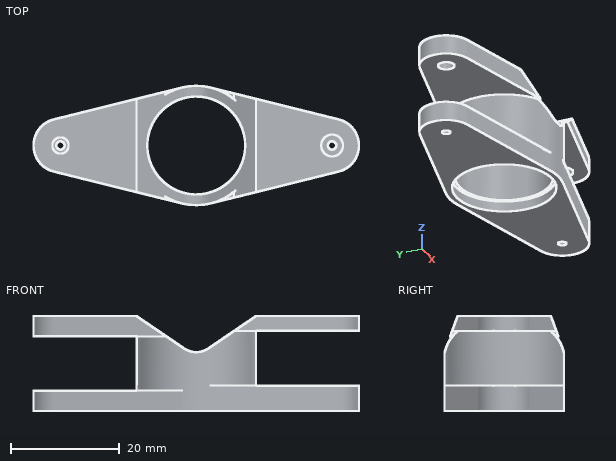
import cadquery as cq
import math

length = 60.0
height = 17.5

hub_diameter = 22.0
bore_diameter = 18.0
hub_radius = hub_diameter / 2

counterbore_diameter = 19.2
counterbore_depth = 2.05

end_radius = 5.0
pin_offset = length / 2 - end_radius

left_upper_thickness = 3.8
left_lower_thickness = 3.8
right_upper_thickness = 2.75
right_lower_thickness = 4.7

left_pin_diameter = 3.0
right_pin_diameter = 4.0
pilot_diameter = 1.5
pin_floor = 1.0

saddle_apex_depth = 7.5
saddle_root_radius = 4.0

LEFT = -1
RIGHT = 1


def lug(side, base_z, thickness):
    """Plate tapering tangentially from the ring to its rounded end."""
    taper_sine = (hub_radius - end_radius) / pin_offset
    taper_cosine = math.sqrt(1 - taper_sine**2)
    hub_x = side * hub_radius * taper_sine
    hub_y = hub_radius * taper_cosine
    end_x = side * (pin_offset + end_radius * taper_sine)
    end_y = end_radius * taper_cosine
    return (
        cq.Workplane("XY", origin=(0, 0, base_z))
        .moveTo(0, hub_y)
        .lineTo(hub_x, hub_y)
        .lineTo(end_x, end_y)
        .threePointArc((side * length / 2, 0), (end_x, -end_y))
        .lineTo(hub_x, -hub_y)
        .lineTo(0, -hub_y)
        .close()
        .extrude(thickness)
    )


def cylinder(x, base_z, diameter):
    """Vertical cylinder from base_z up to the top face."""
    return (
        cq.Workplane("XY", origin=(x, 0, base_z))
        .circle(diameter / 2)
        .extrude(height - base_z)
    )


def counterbore_cutter():
    """Disc that widens the lower end of the bore."""
    return cq.Workplane("XY").circle(counterbore_diameter / 2).extrude(counterbore_depth)


def saddle_cutter():
    """V prism along Y with a rounded root."""
    return (
        cq.Workplane("XZ")
        .moveTo(-hub_radius, height)
        .lineTo(0, height - saddle_apex_depth)
        .lineTo(hub_radius, height)
        .close()
        .extrude(hub_radius, both=True)
        .edges("<Z")
        .fillet(saddle_root_radius)
    )


body = cylinder(0, 0, hub_diameter)

sides = (
    (LEFT, left_upper_thickness, left_lower_thickness, left_pin_diameter),
    (RIGHT, right_upper_thickness, right_lower_thickness, right_pin_diameter),
)
for side, upper_thickness, lower_thickness, pin_diameter in sides:
    body = body.union(lug(side, height - upper_thickness, upper_thickness))
    body = body.union(lug(side, 0, lower_thickness))
    body = body.cut(cylinder(side * pin_offset, pin_floor, pin_diameter))
    body = body.cut(cylinder(side * pin_offset, 0, pilot_diameter))

body = body.cut(cylinder(0, 0, bore_diameter))
body = body.cut(counterbore_cutter())
result = body.cut(saddle_cutter())